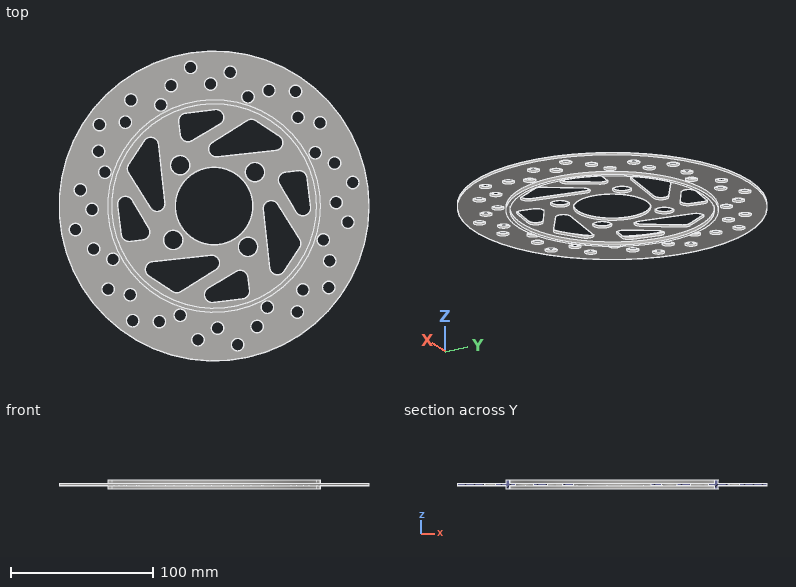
import cadquery as cq
import math

disc_diameter = 218.24
disc_thickness = 1.8
bore_diameter = 54.4

collar_outer_diameter = 149.6
collar_inner_diameter = 144.0
collar_height = 6.6

bolt_count = 4
bolt_hole_diameter = 13.4
bolt_circle_radius = 37.35
bolt_start_angle = 39.7

vent_hole_diameter = 8.6
vent_group_count = 8
vent_group = [
    (85.9, 1.62),
    (98.95, 9.62),
    (90.0, 19.64),
    (80.45, 27.78),
    (94.8, 38.12),
]

window_count = 4
window_corner_radius = 5.4
large_window_centers = [(1.65, 40.1), (42.9, 44.6), (26.25, 55.55)]
small_window_centers = [(-19.45, 59.85), (-18.35, 50.7), (1.35, 62.4)]


def polar_point(radius, angle):
    return (radius * math.cos(math.radians(angle)), radius * math.sin(math.radians(angle)))


def disc_underside():
    """Workplane on the bottom face of the disc, facing up."""
    return cq.Workplane("XY", origin=(0, 0, -disc_thickness / 2))


def cylinder(diameter, height):
    """Cylinder on the Z axis, centered on the mid-plane of the disc."""
    return cq.Workplane("XY", origin=(0, 0, -height / 2)).circle(diameter / 2).extrude(height)


def make_disc():
    collar = cylinder(collar_outer_diameter, collar_height).cut(cylinder(collar_inner_diameter, collar_height))
    return cylinder(disc_diameter, disc_thickness).union(collar).cut(cylinder(bore_diameter, disc_thickness))


def hole_cutters(points, diameter):
    return disc_underside().pushPoints(points).circle(diameter / 2).extrude(disc_thickness)


def bolt_hole_cutters():
    pitch = 360 / bolt_count
    points = [polar_point(bolt_circle_radius, bolt_start_angle + i * pitch) for i in range(bolt_count)]
    return hole_cutters(points, bolt_hole_diameter)


def vent_hole_cutters():
    pitch = 360 / vent_group_count
    points = [
        polar_point(radius, angle + i * pitch)
        for i in range(vent_group_count)
        for radius, angle in vent_group
    ]
    return hole_cutters(points, vent_hole_diameter)


def cut_windows(body, corner_centers):
    """Cut a ring of triangular windows whose corners are rounded about the given centers."""
    window = (
        disc_underside()
        .polyline(corner_centers)
        .close()
        .offset2D(window_corner_radius, "arc")
        .extrude(disc_thickness)
    )
    for i in range(window_count):
        body = body.cut(window.rotate((0, 0, 0), (0, 0, 1), i * 360 / window_count))
    return body


result = make_disc().cut(bolt_hole_cutters()).cut(vent_hole_cutters())
result = cut_windows(result, large_window_centers)
result = cut_windows(result, small_window_centers)